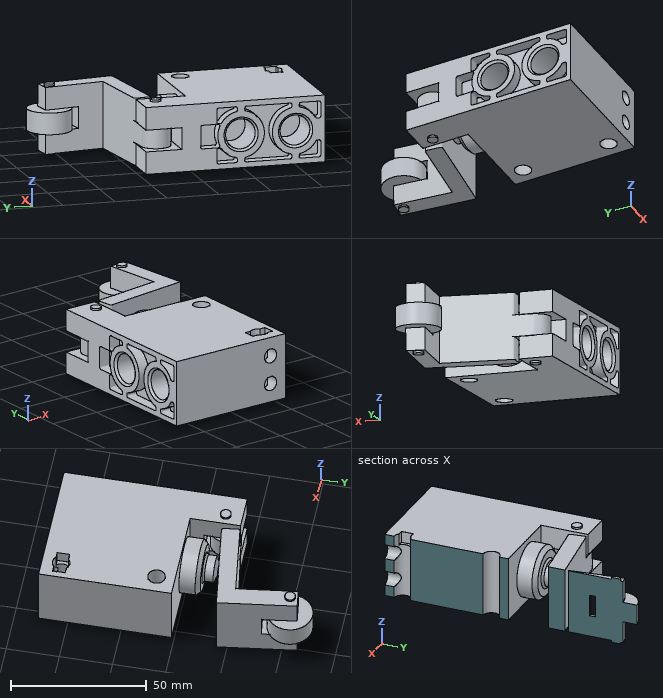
import cadquery as cq


thickness = 25.5
body_width = 50.1
shoulder_height = 50.1
arm_width = 13.3
arm_height = 69.0

tongue_width = 8.3
arm_slot_floor = 55.3

mount_diameter = 6.4
mount_x = 43.1
mount_ys = (7.2, 43.1)
bolt_pocket_size = (9.0, 4.7)
bolt_pocket_depth = 4.5

exhaust_diameter = 5.5
exhaust_pitch = 10.9

port_diameter = 11.4
port_mouth_diameter = 13.2
port_chamfer = 0.9
port_depth = 14.3
port_ys = (11.4, 32.4)

recess_depth = 4.5
recess_y = (1.7, 41.7)
recess_height = 21.2
recess_fillet = 0.7
ring_diameter = 17.9
rib_width = 2.9
end_rib_width = 8.4
window_top = 47.9
window_height = 9.0
window_wall = 0.2

plunger_x = 25.1
collar_diameter = 21.0
collar_shoulder_diameter = 17.7
collar_edge_y = 56.2
collar_top_y = 57.8
neck_diameter = 11.8
stem_diameter = 10.0
stem_start_y = 58.6
stem_edge_y = 61.9
stem_top_diameter = 4.1
stem_top_y = 63.0

pivot = (9.2, 62.7)
lever_angle = 7.6
lever_start = 6.5
lever_end = 42.4
lever_bottom = -1.2
lever_top = 5.6
lever_tip = 28.7
upright_width = 7.2
fork_floor = 15.5
knuckle_diameter = 11.4
lever_corner_fillet = 0.8

overall_width = 52.2
overall_height = 101.9
pin_diameter = 4.0
pin_length = 27.0
roller_diameter = 17.0
roller_center = (overall_width - roller_diameter / 2, overall_height - roller_diameter / 2)


def centered_slab(sketch, width):
    """Extrude a closed XY outline into a slab centered on the middle plane."""
    return sketch.extrude(width).translate((0, 0, -width / 2))


def disc(center, diameter, width):
    return centered_slab(cq.Workplane("XY").center(*center).circle(diameter / 2), width)


def box(x_range, y_range, z_range):
    ranges = (x_range, y_range, z_range)
    sizes = [high - low for low, high in ranges]
    lows = [low for low, _ in ranges]
    return cq.Workplane("XY").box(*sizes, centered=False).translate(tuple(lows))


def port_ring(y):
    return cq.Workplane("YZ", origin=(0, y, 0)).circle(ring_diameter / 2).extrude(recess_depth)


def make_body():
    outline = (
        cq.Workplane("XY")
        .moveTo(0, 0)
        .lineTo(body_width, 0)
        .lineTo(body_width, shoulder_height)
        .lineTo(arm_width, shoulder_height)
        .lineTo(arm_width, arm_height)
        .lineTo(0, arm_height)
        .close()
    )
    half_slot = tongue_width / 2
    arm_slot = box((0, arm_width), (arm_slot_floor, arm_height), (-half_slot, half_slot))
    return centered_slab(outline, thickness).cut(arm_slot)


def cut_mounting_holes(body):
    for y in mount_ys:
        body = body.cut(disc((mount_x, y), mount_diameter, thickness))
    bolt_pocket = (
        cq.Workplane("XY", origin=(mount_x, mount_ys[0], thickness / 2))
        .rect(*bolt_pocket_size)
        .extrude(-bolt_pocket_depth)
    )
    return body.cut(bolt_pocket)


def cut_exhaust_holes(body):
    for side in (-1, 1):
        hole = (
            cq.Workplane("XZ", origin=(mount_x, 0, side * exhaust_pitch / 2))
            .circle(exhaust_diameter / 2)
            .extrude(-mount_ys[0])
        )
        body = body.cut(hole)
    return body


def make_recess():
    """The pockets left between the port rings, the ribs and the walls of the window."""
    half_height = recess_height / 2
    depth_range = (0, recess_depth)
    height_range = (-half_height, half_height)
    recess = box(depth_range, recess_y, height_range)
    for y in port_ys:
        rib = box(depth_range, (y - rib_width / 2, y + rib_width / 2), height_range)
        recess = recess.cut(port_ring(y)).cut(rib)
    half_end_rib = end_rib_width / 2
    half_walls = window_height / 2 + window_wall
    recess = recess.cut(box(depth_range, (recess_y[0], port_ys[0]), (-half_end_rib, half_end_rib)))
    recess = recess.cut(box(depth_range, (port_ys[1], recess_y[1]), (-half_walls, half_walls)))
    return recess.edges("|X").fillet(recess_fillet)


def make_window():
    """The pocket beside the upper port ring, towards the arm."""
    half_height = window_height / 2
    window = box((0, recess_depth), (port_ys[1], window_top), (-half_height, half_height))
    return window.cut(port_ring(port_ys[1])).edges("|X").fillet(recess_fillet)


def cut_ports(body):
    bore = port_diameter / 2
    mouth = port_mouth_diameter / 2
    for y in port_ys:
        profile = (
            cq.Workplane("XY")
            .moveTo(0, y)
            .lineTo(0, y + mouth)
            .lineTo(port_chamfer, y + bore)
            .lineTo(port_depth, y + bore)
            .lineTo(port_depth, y)
            .close()
        )
        body = body.cut(profile.revolve(360, (0, y, 0), (1, y, 0)))
    return body


def make_plunger():
    steps = (
        (collar_diameter, shoulder_height),
        (collar_diameter, collar_edge_y),
        (collar_shoulder_diameter, collar_top_y),
        (neck_diameter, collar_top_y),
        (stem_diameter, stem_start_y),
        (stem_diameter, stem_edge_y),
        (stem_top_diameter, stem_top_y),
    )
    profile = cq.Workplane("XY").moveTo(plunger_x, shoulder_height)
    for diameter, y in steps:
        profile = profile.lineTo(plunger_x + diameter / 2, y)
    profile = profile.lineTo(plunger_x, stem_top_y).close()
    return profile.revolve(360, (plunger_x, 0, 0), (plunger_x, 1, 0))


def make_lever():
    upright_inner = lever_end - upright_width
    legs_outline = (
        cq.Workplane("XY")
        .moveTo(lever_start, lever_bottom)
        .lineTo(lever_end, lever_bottom)
        .lineTo(lever_end, lever_tip)
        .lineTo(upright_inner, lever_tip)
        .lineTo(upright_inner, lever_top)
        .lineTo(lever_start, lever_top)
        .close()
    )
    legs = centered_slab(legs_outline, thickness).edges("|Z and <X").fillet(lever_corner_fillet)
    half_fork = tongue_width / 2
    fork_gap = box((upright_inner, lever_end), (fork_floor, lever_tip), (-half_fork, half_fork))
    knuckle = disc((0, 0), knuckle_diameter, tongue_width)
    tongue = box((0, lever_end), (lever_bottom, lever_top), (-half_fork, half_fork))
    lever = legs.cut(fork_gap).union(knuckle).union(tongue)
    return lever.rotate((0, 0, 0), (0, 0, 1), lever_angle).translate((*pivot, 0))


body = cut_exhaust_holes(cut_mounting_holes(make_body()))
body = cut_ports(body.cut(make_recess()).cut(make_window()))
result = body.union(make_plunger()).union(make_lever())
result = result.union(disc(roller_center, roller_diameter, tongue_width))
for center in (pivot, roller_center):
    result = result.union(disc(center, pin_diameter, pin_length))